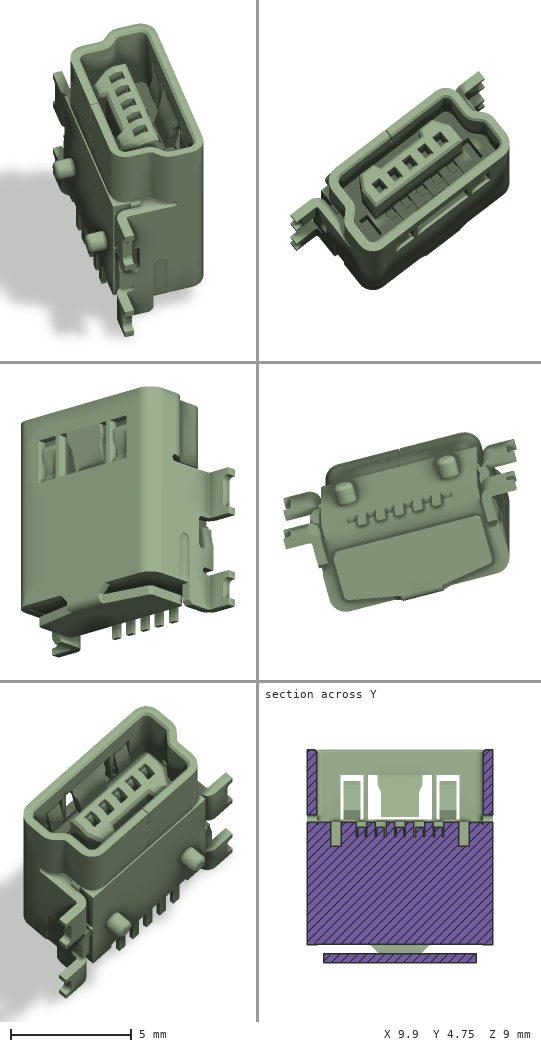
import cadquery as cq

tiny = 0.01

sheet = 0.4
shell_top = 9.0
shell_back = 3.95
shell_half = 3.85
corner_r = 0.7
inner_half = shell_half - sheet
inner_back = shell_back - sheet

mouth_bottom = 6.3
mouth_front = 0.06
mouth_half_front = 3.33
shoulder_mid = 1.91
mouth_chamfer = 0.1

seam_gap = 0.04
key_gap = 0.02
key_depth = 0.5
key_bottom = 6.97
key_top = 8.05

tab_half = 4.95
bend_outer_r = 0.5
bend_inner_r = bend_outer_r - sheet
tab_levels = ((0.0, 1.5), (4.0, 6.0))
lower_tab_top = tab_levels[0][1]
upper_tab_bottom, upper_tab_top = tab_levels[1]
tab_notch_margin = 0.3
tab_notch_depth = 0.31
tab_notch_r = 0.2

mouth_slit_back = 2.63
lower_slit_top = 1.8
lower_slit_back = 0.76
arm_front = 0.11
arm_back = 0.61
arm_top = 3.6
arm_bend_bottom = 2.8
arm_bend_top = 3.39
arm_shift = 0.13
arm_slot_width = 0.4
arm_slot_bottom = 2.61

wall_bottom = 0.9
leg_back = 1.6
leg_chamfer = 0.17

lip_half = 3.17
lip_bottom = 0.15
lip_top = lip_bottom + sheet
lip_front = 1.2
lip_corner_r = 0.2
lip_shoulder = 3.22
neck_thickness = 0.32
neck_top_half = 1.23
neck_half = neck_top_half - (wall_bottom - lip_top)

window_bottom = 6.1
window_top = 7.95
center_window_half = 1.32
center_spring_half = 0.93
center_spring_tip_half = 0.78
center_spring_tip_y = 3.08
center_spring_tip_z = 6.2
center_spring_taper_top = 7.55
center_spring_taper_bottom = 7.2
side_spring_x = 1.99
side_window_width = 0.95
side_spring_width = 0.7
side_spring_thickness = 0.25
side_spring_bulge = (3.35, 6.5)
side_spring_bend = (3.57, 7.45)
side_spring_tip = (3.66, 7.7)

floor_z = upper_tab_top
floor_chamfer = 0.1
floor_corner = 0.15
floor_chamfer_front = shoulder_mid
housing_bottom = 0.92
slab_half = 3.34
slab_depth = 0.75
slab_top = 6.23
lug_depth = 0.3
lug_back = 1.17
lug_chamfer = 0.08
arm_stop_top = 3.8
rib_half = 3.8
rib_front = leg_back
rib_back = 2.21
rib_top = 3.0
floor_slot_x = 2.65
floor_slot_size = (0.42, 1.01)
floor_slot_y = 2.455
floor_slot_depth = 1.0
lead_notch_half = 2.26
lead_notch_top = 1.16
lead_notch_depth = 0.3

tongue_half = 2.29
tongue_back = 2.33
tongue_top = 8.6
tongue_root = 1.0
tongue_front = 0.757
tongue_shoulder = 1.44
tongue_foot_outer = 1.9
tongue_foot_inner = 1.21
tongue_notch_half = 1.07
tongue_notch_y = 1.08
tongue_chamfer = 0.115
tongue_slope_y = 1.72
tongue_slope = 0.53
ridge_min_length = 2.0

contact_count = 5
contact_pitch = 0.8
lead_width = 0.36
lead_thickness = 0.2
lead_bottom = 0.05
well_width = 0.42
well_front = 1.43
well_back = 2.02
well_bottom = 6.8
well_ledge_y = 1.95
well_ledge_z = tongue_top - 0.3
well_step_y = 1.84
well_step_z = tongue_top - 0.6
pocket_back = 3.08
pocket_depth = 0.2
groove_depth = 0.6
beam_width = 0.33
beam_back = 2.58
beam_tip_width = 0.28
beam_tip_front = 2.65
beam_tip_thickness = 0.08
beam_tip_height = 0.1

peg_x = 2.2
peg_z = 3.1
peg_r = 0.4
peg_length = 0.8
peg_root = 0.1
peg_round = 0.19


def box(x0, x1, y0, y1, z0, z1):
    return cq.Workplane("XY").box(x1 - x0, y1 - y0, z1 - z0, centered=False).translate((x0, y0, z0))


def side_profile(points, width, x_center):
    """Extrude a (y, z) polygon along X, centred on x_center."""
    return cq.Workplane("YZ", origin=(x_center - width / 2, 0, 0)).polyline(points).close().extrude(width)


def mirrored(shape):
    """The shape together with its mirror image across X = 0."""
    return shape.union(shape.mirror("YZ"))


def mouth_shell():
    half_step = (shell_half - mouth_half_front) / 2
    points = [
        (-shell_half, shell_back),
        (shell_half, shell_back),
        (shell_half, shoulder_mid + half_step),
        (mouth_half_front, shoulder_mid - half_step),
        (mouth_half_front, mouth_front),
        (-mouth_half_front, mouth_front),
        (-mouth_half_front, shoulder_mid - half_step),
        (-shell_half, shoulder_mid + half_step),
    ]
    height = shell_top - mouth_bottom
    outer = cq.Workplane("XY", origin=(0, 0, mouth_bottom)).polyline(points).close().extrude(height)

    def vertical_edges(y0, y1):
        selector = cq.selectors.BoxSelector(
            (-tab_half, y0, mouth_bottom - 1), (tab_half, y1, shell_top + 1)
        )
        return outer.edges("|Z").edges(selector)

    outer = vertical_edges(shoulder_mid, shoulder_mid + 1).fillet(corner_r)
    outer = vertical_edges(shoulder_mid - 1, shoulder_mid).fillet(corner_r - sheet)
    outer = vertical_edges(shell_back - tiny, shell_back + tiny).fillet(corner_r)
    outer = vertical_edges(mouth_front - tiny, mouth_front + tiny).fillet(corner_r)

    cavity_outline = outer.faces("<Z").wires().val().offset2D(-sheet)
    cavity = cq.Workplane("XY").newObject(cavity_outline).toPending().extrude(height)
    shell = outer.cut(cavity)
    rim = shell.faces(">Z").val().innerWires()[0]
    shell = shell.newObject(rim.Edges()).chamfer(mouth_chamfer)
    skirt_half = mouth_half_front - corner_r
    skirt = box(-skirt_half, skirt_half, mouth_front, mouth_front + sheet, slab_top, mouth_bottom)
    return shell.union(skirt).cut(seam())


def seam():
    front = mouth_front - tiny
    back = mouth_front + sheet + tiny
    half = seam_gap / 2
    cut = box(-half, half, front, back, slab_top, key_bottom)
    cut = cut.union(box(-half, half, front, back, key_top, shell_top))
    cut = cut.union(box(-key_depth, half, front, back, key_bottom, key_bottom + key_gap))
    cut = cut.union(box(-key_depth, half, front, back, key_top - key_gap, key_top))
    return cut.union(box(-key_depth, -key_depth + key_gap, front, back, key_bottom, key_top))


def tab_notches():
    cut = None
    for bottom, top in tab_levels:
        notch = box(
            tab_half - tab_notch_depth, tab_half + 1, -tiny, sheet + tiny,
            bottom + tab_notch_margin, top - tab_notch_margin,
        )
        notch = notch.edges("|Y and <X").fillet(tab_notch_r)
        cut = notch if cut is None else cut.union(notch)
    return mirrored(cut)


def side_slits():
    """Slits that free the mouth, the tabs and the locking arm on both side walls."""
    x0 = inner_half - tiny
    x1 = tab_half + 1

    def slit(back, bottom, top):
        end_r = (top - bottom) / 2
        end = cq.Workplane("YZ", origin=(x0, back - end_r, bottom + end_r)).circle(end_r).extrude(x1 - x0)
        return box(x0, x1, -1, back - end_r, bottom, top).union(end)

    cut = slit(mouth_slit_back, upper_tab_top, mouth_bottom)
    cut = cut.union(slit(lower_slit_back, lower_tab_top, lower_slit_top))
    cut = cut.union(box(x0, x1, -1, arm_back, lower_tab_top, upper_tab_bottom))
    arm_slot = box(x0, x1, arm_back, arm_back + arm_slot_width, arm_slot_bottom, upper_tab_bottom)
    arm_slot = arm_slot.edges("|X and <Z").fillet(arm_slot_width / 2 - tiny)
    arm_slot = arm_slot.edges("|X and >Z and >Y").fillet(arm_slot_width / 2 - tiny)
    return mirrored(cut.union(arm_slot))


def locking_arm():
    points = [
        (inner_half, lower_slit_top),
        (shell_half, lower_slit_top),
        (shell_half, arm_bend_bottom),
        (shell_half - arm_shift, arm_bend_top),
        (shell_half - arm_shift, arm_top),
        (inner_half - arm_shift, arm_top),
        (inner_half - arm_shift, arm_bend_top),
        (inner_half, arm_bend_bottom),
    ]
    arm = cq.Workplane("XZ", origin=(0, arm_back, 0)).polyline(points).close().extrude(arm_back - arm_front)
    return mirrored(arm)


def body_shell():
    """Back wall and side walls with the tabs bent outward at the board face."""
    bend_x = shell_half + bend_inner_r
    diagonal = 0.5 ** 0.5

    def bend_middle(side, radius):
        return (side * (bend_x - radius * diagonal), bend_outer_r - radius * diagonal)

    inner_corner_r = corner_r - sheet

    def corner_middle(side, radius):
        reach = corner_r - radius * diagonal
        return (side * (shell_half - reach), shell_back - reach)

    outline = cq.Workplane("XY").moveTo(-tab_half, sheet).lineTo(-bend_x, sheet)
    outline = outline.threePointArc(bend_middle(-1, bend_inner_r), (-shell_half, bend_outer_r))
    outline = outline.lineTo(-shell_half, shell_back - corner_r)
    outline = outline.threePointArc(corner_middle(-1, corner_r), (-shell_half + corner_r, shell_back))
    outline = outline.lineTo(shell_half - corner_r, shell_back)
    outline = outline.threePointArc(corner_middle(1, corner_r), (shell_half, shell_back - corner_r))
    outline = outline.lineTo(shell_half, bend_outer_r)
    outline = outline.threePointArc(bend_middle(1, bend_inner_r), (bend_x, sheet))
    outline = outline.lineTo(tab_half, sheet).lineTo(tab_half, 0).lineTo(bend_x, 0)
    outline = outline.threePointArc(bend_middle(1, bend_outer_r), (inner_half, bend_outer_r))
    outline = outline.lineTo(inner_half, shell_back - corner_r)
    outline = outline.threePointArc(
        corner_middle(1, inner_corner_r), (inner_half - inner_corner_r, inner_back)
    )
    outline = outline.lineTo(-inner_half + inner_corner_r, inner_back)
    outline = outline.threePointArc(corner_middle(-1, inner_corner_r), (-inner_half, shell_back - corner_r))
    outline = outline.lineTo(-inner_half, bend_outer_r)
    outline = outline.threePointArc(bend_middle(-1, bend_outer_r), (-bend_x, 0))
    shell = outline.lineTo(-tab_half, 0).close().extrude(mouth_bottom)

    below_walls = [
        (leg_back - leg_chamfer, 0),
        (leg_back, leg_chamfer),
        (leg_back, wall_bottom),
        (shell_back + 1, wall_bottom),
        (shell_back + 1, 0),
    ]
    shell = shell.cut(side_profile(below_walls, 2 * tab_half, 0))
    return shell.cut(side_slits()).cut(tab_notches()).union(locking_arm())


def bottom_lip():
    neck_points = [
        (-neck_top_half, wall_bottom),
        (neck_top_half, wall_bottom),
        (neck_half, lip_top),
        (neck_half, lip_bottom),
        (-neck_half, lip_bottom),
        (-neck_half, lip_top),
    ]
    neck = cq.Workplane("XZ", origin=(0, shell_back, 0)).polyline(neck_points).close().extrude(neck_thickness)
    neck = neck.edges("|X and <Z and >Y").fillet(neck_thickness - tiny)
    neck_front = shell_back - neck_thickness
    lip_points = [
        (-neck_half, neck_front),
        (neck_half, neck_front),
        (lip_half, lip_shoulder),
        (lip_half, lip_front),
        (-lip_half, lip_front),
        (-lip_half, lip_shoulder),
    ]
    lip = cq.Workplane("XY", origin=(0, 0, lip_bottom)).polyline(lip_points).close().extrude(sheet)
    lip = lip.edges("|Z and (<X or >X)").fillet(lip_corner_r)
    return lip.union(neck)


def spring_windows():
    y0 = inner_back - tiny
    y1 = shell_back + tiny
    half = side_window_width / 2
    side = box(side_spring_x - half, side_spring_x + half, y0, y1, window_bottom, window_top)
    center = box(-center_window_half, center_window_half, y0, y1, window_bottom, window_top)
    return mirrored(side).union(center)


def springs():
    front_points = [(inner_back, window_bottom), side_spring_bulge, side_spring_bend]
    back_points = [(y + side_spring_thickness, z) for y, z in reversed(front_points)]
    side_points = front_points + [side_spring_tip] + back_points
    side = side_profile(side_points, side_spring_width, side_spring_x)
    center_points = [
        (inner_back, window_top),
        (center_spring_tip_y, center_spring_tip_z),
        (center_spring_tip_y + sheet, center_spring_tip_z),
        (inner_back + sheet, window_top),
    ]
    center = side_profile(center_points, 2 * center_spring_half, 0)
    taper_points = [
        (-center_spring_half, window_top),
        (center_spring_half, window_top),
        (center_spring_half, center_spring_taper_top),
        (center_spring_tip_half, center_spring_taper_bottom),
        (center_spring_tip_half, center_spring_tip_z),
        (-center_spring_tip_half, center_spring_tip_z),
        (-center_spring_tip_half, center_spring_taper_bottom),
        (-center_spring_half, center_spring_taper_top),
    ]
    taper = cq.Workplane("XZ", origin=(0, shell_back, 0)).polyline(taper_points).close().extrude(shell_back)
    return mirrored(side).union(center.intersect(taper))


def round_topped_bars(x0, x1, bottom):
    """Upright bars with a round top, on both side walls, from x0 out to x1."""
    end_r = (rib_back - rib_front) / 2
    arch_z = rib_top - end_r
    bar = box(x0, x1, rib_front, rib_back, bottom, arch_z)
    end = cq.Workplane("YZ", origin=(x0, rib_front + end_r, arch_z)).circle(end_r).extrude(x1 - x0)
    return mirrored(bar.union(end))


def housing():
    block = box(-inner_half, inner_half, slab_depth, inner_back, housing_bottom, floor_z)
    block = block.edges("|Z and >Y").chamfer(floor_corner)
    block = block.faces(">Z").edges("not <Y").chamfer(floor_chamfer)
    sharp_front = box(-inner_half, inner_half, slab_depth, floor_chamfer_front, housing_bottom, floor_z)
    block = block.union(sharp_front)
    slab = box(-slab_half, slab_half, 0, slab_depth, housing_bottom, slab_top)
    cavity_half = mouth_half_front - sheet
    cavity = box(-cavity_half, cavity_half, mouth_front + sheet, shell_back, floor_z, shell_top)
    cavity = cavity.edges("|Z and <Y").fillet(corner_r - sheet)
    lug = box(slab_half - tiny, inner_half, slab_depth, lug_back, floor_z - lug_depth, slab_top)
    lug = lug.edges(">X and >Z").chamfer(lug_chamfer)
    arm_stop = box(slab_half - tiny, inner_half, 0, slab_depth, arm_top, arm_stop_top)
    body = block.union(slab.cut(cavity)).union(mirrored(lug.union(arm_stop)))
    body = body.union(round_topped_bars(slab_half, rib_half, housing_bottom))

    slot_width, slot_length = floor_slot_size
    slots = cq.Workplane("XY", origin=(0, 0, floor_z - floor_slot_depth))
    slots = slots.pushPoints([(-floor_slot_x, floor_slot_y), (floor_slot_x, floor_slot_y)])
    slots = slots.rect(slot_width, slot_length).extrude(2 * floor_slot_depth)
    lead_notch = box(
        -lead_notch_half, lead_notch_half, -tiny, lead_notch_depth, housing_bottom - tiny, lead_notch_top
    )
    return body.cut(slots).cut(lead_notch)


def tongue():
    points = [
        (-tongue_half, tongue_back),
        (tongue_half, tongue_back),
        (tongue_half, tongue_shoulder),
        (tongue_foot_outer, tongue_front),
        (tongue_foot_inner, tongue_front),
        (tongue_notch_half, tongue_notch_y),
        (-tongue_notch_half, tongue_notch_y),
        (-tongue_foot_inner, tongue_front),
        (-tongue_foot_outer, tongue_front),
        (-tongue_half, tongue_shoulder),
    ]
    base_z = floor_z - tongue_root
    shape = cq.Workplane("XY", origin=(0, 0, base_z)).polyline(points).close().extrude(tongue_top - base_z)
    slope_drop = tongue_slope_y * tongue_slope
    slope_cut = side_profile(
        [(tongue_slope_y, tongue_top), (0, tongue_top), (0, tongue_top - slope_drop)], 2 * tab_half, 0
    )
    shape = shape.cut(slope_cut)

    def is_rim(edge):
        on_ridge = abs(edge.Center().y - tongue_slope_y) <= tiny
        return not on_ridge or edge.Length() < ridge_min_length

    tip = cq.selectors.BoxSelector(
        (-tab_half, 0, tongue_top - slope_drop), (tab_half, shell_back, tongue_top + tiny)
    )
    return shape.edges(tip).edges("not |Z").filter(is_rim).chamfer(tongue_chamfer)


def contact_positions():
    middle = (contact_count - 1) / 2
    return [(index - middle) * contact_pitch for index in range(contact_count)]


def contact_well(x):
    points = [
        (well_front, tongue_top + 1),
        (well_back, tongue_top + 1),
        (well_back, well_ledge_z),
        (well_ledge_y, well_ledge_z),
        (well_step_y, well_step_z),
        (well_step_y, well_bottom),
        (well_front, well_bottom),
    ]
    well = side_profile(points, well_width, x)
    half = well_width / 2
    pocket = box(x - half, x + half, tongue_back, pocket_back, floor_z - pocket_depth, floor_z + tiny)
    groove = box(x - half, x + half, tongue_back, beam_back, floor_z - groove_depth, floor_z)
    return well.union(pocket).union(groove)


def contact(x):
    def bar(width, y0, y1, z0, z1):
        return box(x - width / 2, x + width / 2, y0, y1, z0, z1)

    pocket_floor = floor_z - pocket_depth
    lead = bar(lead_width, 0, lead_thickness, lead_bottom, lead_notch_top + tiny)
    beam = bar(beam_width, tongue_back - tiny, beam_back, floor_z - groove_depth - tiny, pocket_floor)
    tip_back = beam_tip_front + beam_tip_thickness
    tip = bar(beam_tip_width, beam_tip_front, tip_back, pocket_floor - tiny, pocket_floor + beam_tip_height)
    return lead.union(beam).union(tip)


def pegs():
    peg = cq.Workplane("XZ", origin=(peg_x, peg_root, peg_z)).circle(peg_r).extrude(peg_length + peg_root)
    return mirrored(peg.faces("<Y").edges().fillet(peg_round))


shell = mouth_shell().union(body_shell()).cut(spring_windows())
shell = shell.cut(round_topped_bars(inner_half - tiny, tab_half, wall_bottom - tiny))
shell = shell.union(springs()).union(bottom_lip())
plastic = housing().union(tongue()).union(pegs())
for contact_x in contact_positions():
    plastic = plastic.cut(contact_well(contact_x)).union(contact(contact_x))

result = shell.union(plastic)